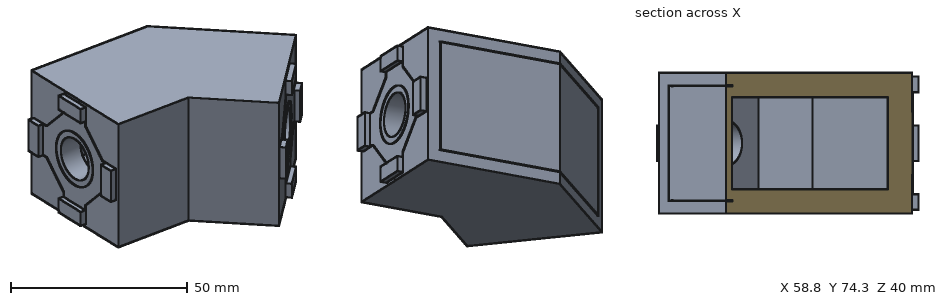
import cadquery as cq
import math

BEND_ANGLE = 45.0
OVERALL_LENGTH = 74.3
WIDTH = 40.0
ANGLED_LENGTH = 25.85

WALL = 7.0
COVER_THICKNESS = 1.35
COVER_END_INSET = 3.9
COVER_EDGE_INSET = 3.6
COVER_GAP = 0.2

PLATE_THICKNESS = 0.2
PAD_HEIGHT = 1.85
PAD_LENGTH = 10.1
PAD_WIDTH = 4.5
PAD_EDGE_DISTANCE = 1.05
PLATE_CORNER = 12.85
BORE_DIAMETER = 12.85
BORE_RING_DIAMETER = 16.9

PAD_OUTER = WIDTH / 2 - PAD_EDGE_DISTANCE
PAD_CENTRE = PAD_OUTER - PAD_WIDTH / 2

MITRE_SLOPE = math.tan(math.radians(BEND_ANGLE / 2))
ARM_X = math.sin(math.radians(BEND_ANGLE))
ARM_Y = math.cos(math.radians(BEND_ANGLE))

MITRE_RISE = WIDTH * MITRE_SLOPE
ANGLED_REACH = (ANGLED_LENGTH + MITRE_RISE + PAD_HEIGHT) * ARM_Y - PAD_EDGE_DISTANCE * ARM_X
STRAIGHT_LENGTH = OVERALL_LENGTH - PAD_HEIGHT - MITRE_RISE - ANGLED_REACH


def mitre_point(x):
    """Point where the line at x along the straight arm turns into the angled arm."""
    return x, STRAIGHT_LENGTH + (WIDTH - x) * MITRE_SLOPE


def angled_point(x, end_inset):
    """Point on the same line inside the angled arm, end_inset short of its end face."""
    turn_x, turn_y = mitre_point(x)
    length = ANGLED_LENGTH + (WIDTH - x) * MITRE_SLOPE - end_inset
    return turn_x + length * ARM_X, turn_y + length * ARM_Y


def bent_block(x_outer, x_inner, end_inset, height):
    """Bent bar between two lengthwise lines, centred on Z = 0."""
    outline = [
        (x_outer, end_inset),
        (x_inner, end_inset),
        mitre_point(x_inner),
        angled_point(x_inner, end_inset),
        angled_point(x_outer, end_inset),
        mitre_point(x_outer),
    ]
    return cq.Workplane("XY").polyline(outline).close().extrude(height / 2, both=True)


def cover_groove():
    """Gap around the cover, as deep as the cover is thick."""
    recess = bent_block(0, COVER_THICKNESS, COVER_END_INSET, WIDTH - 2 * COVER_EDGE_INSET)
    cover = bent_block(
        0,
        COVER_THICKNESS,
        COVER_END_INSET + COVER_GAP,
        WIDTH - 2 * (COVER_EDGE_INSET + COVER_GAP),
    )
    return recess.cut(cover)


def coupling(plane):
    """Thin cross-shaped plate with an opening at the bore and a pad on each tongue."""
    half_pad = PAD_LENGTH / 2
    octagon = [
        (half_pad, PLATE_CORNER),
        (PLATE_CORNER, half_pad),
        (PLATE_CORNER, -half_pad),
        (half_pad, -PLATE_CORNER),
        (-half_pad, -PLATE_CORNER),
        (-PLATE_CORNER, -half_pad),
        (-PLATE_CORNER, half_pad),
        (-half_pad, PLATE_CORNER),
    ]
    plate = cq.Workplane(plane).polyline(octagon).close().extrude(PLATE_THICKNESS)
    for angle in (0, 90):
        turned = plane.rotated((0, 0, angle))
        tongues = cq.Workplane(turned).rect(2 * PAD_OUTER, PAD_LENGTH).extrude(PLATE_THICKNESS)
        pads = (
            cq.Workplane(turned)
            .pushPoints([(-PAD_CENTRE, 0), (PAD_CENTRE, 0)])
            .rect(PAD_WIDTH, PAD_LENGTH)
            .extrude(PAD_HEIGHT)
        )
        plate = plate.union(tongues).union(pads)
    ring_opening = cq.Workplane(plane).circle(BORE_RING_DIAMETER / 2).extrude(PLATE_THICKNESS)
    return plate.cut(ring_opening)


def bore(plane):
    """Hole through the end wall into the hollow interior."""
    return cq.Workplane(plane).circle(BORE_DIAMETER / 2).extrude(-WALL)


straight_end = cq.Plane(origin=(WIDTH / 2, 0, 0), xDir=(1, 0, 0), normal=(0, -1, 0))
angled_end = cq.Plane(
    origin=(*angled_point(WIDTH / 2, 0), 0),
    xDir=(ARM_Y, -ARM_X, 0),
    normal=(ARM_X, ARM_Y, 0),
)

chamber = bent_block(COVER_THICKNESS, WIDTH - WALL, WALL, WIDTH - 2 * WALL)
result = bent_block(0, WIDTH, 0, WIDTH).cut(chamber).cut(cover_groove())
for end_plane in (straight_end, angled_end):
    result = result.union(coupling(end_plane)).cut(bore(end_plane))